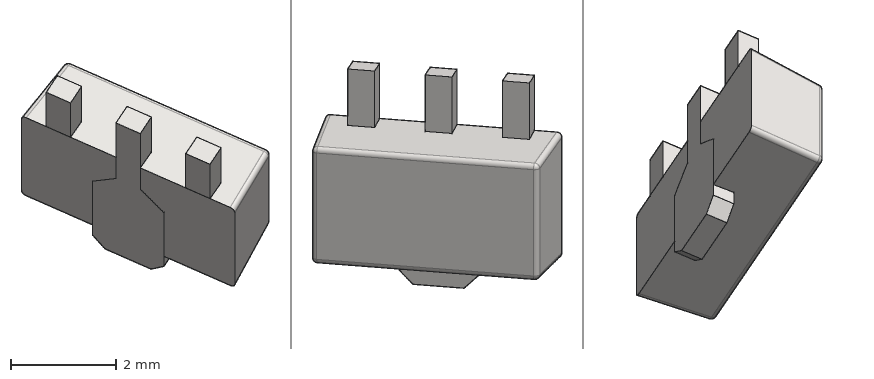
import cadquery as cq

HOUSING_LENGTH = 4.6
HOUSING_HEIGHT = 2.535
HOUSING_DEPTH = 1.61
DRAFT_ANGLE = 3.5
EDGE_RADIUS = 0.1

LEAD_THICKNESS = 0.44
LEAD_WIDTH = 0.525
LEAD_PITCH = 1.505
LEAD_REACH = 1.115

TAB_WIDTH = 1.545
TAB_REACH = 0.603
TAB_CORNER = 0.275
NECK_LENGTH = 0.69
SHOULDER_HEIGHT = 0.43

HOUSING_TOP = HOUSING_HEIGHT / 2
LEAD_TIP = HOUSING_TOP + LEAD_REACH
NECK_END = HOUSING_TOP - NECK_LENGTH
SHOULDER_END = NECK_END - SHOULDER_HEIGHT
TAB_TIP = -HOUSING_TOP - TAB_REACH


def mounting_face():
    """Workplane on Y = 0 with X across and Z up; negative extrusions go toward +Y."""
    return cq.Workplane("XZ")


def make_housing_block():
    """Drafted block with rounded side corners and a rounded rim on its far face."""
    block = (
        mounting_face()
        .rect(HOUSING_LENGTH, HOUSING_HEIGHT)
        .extrude(-HOUSING_DEPTH, taper=DRAFT_ANGLE)
    )
    side_corners_and_rim = block.edges("not <Y")
    return side_corners_and_rim.fillet(EDGE_RADIUS)


def make_heat_tab():
    """Centre lead, shoulders and heat tab as one flat plate."""
    half_lead = LEAD_WIDTH / 2
    half_tab = TAB_WIDTH / 2
    right_half = [
        (half_lead, LEAD_TIP),
        (half_lead, NECK_END),
        (half_tab, SHOULDER_END),
        (half_tab, TAB_TIP + TAB_CORNER),
        (half_tab - TAB_CORNER, TAB_TIP),
    ]
    left_half = [(-x, z) for x, z in reversed(right_half)]
    return mounting_face().polyline(right_half + left_half).close().extrude(-LEAD_THICKNESS)


def make_side_lead(x_centre, housing_block):
    """Straight lead whose lower end follows the sloping top wall of the housing."""
    bar = (
        mounting_face()
        .center(x_centre, LEAD_TIP / 2)
        .rect(LEAD_WIDTH, LEAD_TIP)
        .extrude(-LEAD_THICKNESS)
    )
    return bar.cut(housing_block).solids()


housing_block = make_housing_block()
heat_tab = make_heat_tab()
side_leads = [make_side_lead(side * LEAD_PITCH, housing_block) for side in (-1, 1)]

housing = housing_block.cut(heat_tab).solids()

result = cq.Compound.makeCompound(
    [housing.val(), heat_tab.val(), *[lead.val() for lead in side_leads]]
)